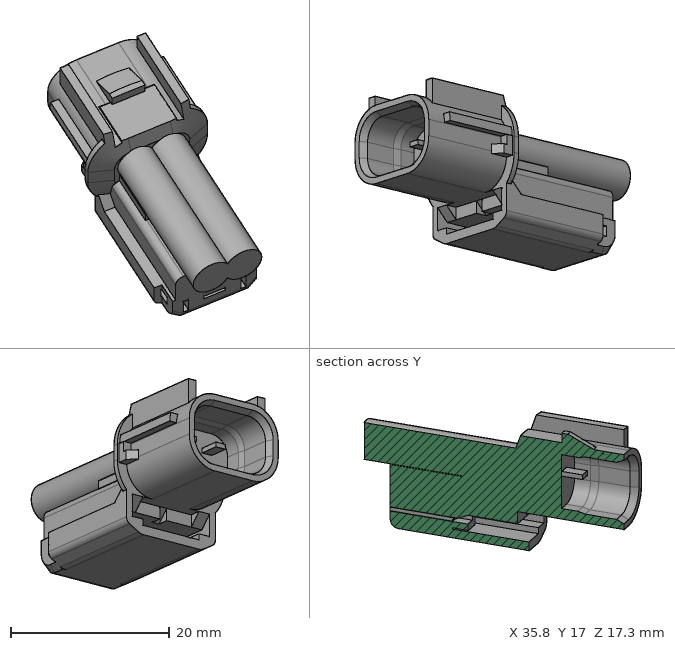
import cadquery as cq
import math


LENGTH = 35.8
AXIS_Z = 10.25
CORE_Y = 5.98
CORE_Z = 2.15
BODY_RADIUS = 4.08
BODY_HALF_WIDTH = CORE_Y / 2 + BODY_RADIUS
BODY_TOP = AXIS_Z + CORE_Z / 2 + BODY_RADIUS
BODY_BOTTOM = AXIS_Z - CORE_Z / 2 - BODY_RADIUS

FLANGE_X = 13.05
TAPER_X = 13.82
BODY_END = 15.0
FLANGE_RADIUS = BODY_RADIUS + 1.43
TAPER_END_RADIUS = 2.33
TAPER_SLOPE = (FLANGE_RADIUS - TAPER_END_RADIUS) / (BODY_END - TAPER_X)

MOUTH_RADIUS = 3.25
SOCKET_RADIUS = 2.8
SEAT_RADIUS = 2.58
LEAD_IN = 1.0
SEAT_X = 5.35
SEAT_END = 6.37
FLOOR_X = 8.6
PIN_LENGTH = 2.85
PIN_Y = 2.3
PIN_WIDTH = 1.5
PIN_THICKNESS = 0.65
PIN_Z = AXIS_Z + CORE_Z / 2

RAIL_X = 1.45
RAIL_INNER_Y = 4.87
RAIL_OUTER_Y = 6.1
RAIL_TOP = 17.25
PAD_X = 7.88
PAD_LEAD = 0.32
PAD_HALF_WIDTH = 3.9
PAD_TOP = 15.6
LATCH_X = 4.2
LATCH_CREST_X = 7.77
LATCH_END = 8.55
LATCH_HALF_WIDTH = 2.33
LATCH_TOP = 16.9
LATCH_BOW = 0.15
LATCH_ROOT = 0.35

RIB_X = 2.65
RIB_TOP = 12.6
RIB_BOTTOM = 11.42
RIB_TOP_Y = 8.02
RIB_BOTTOM_Y = 8.15
CATCH_Y = 8.25
CATCH_X = 10.55
CATCH_CREST_X = 11.6
CATCH_POST_X = 12.15
CATCH_TOP = 10.1
CATCH_BOTTOM = 8.85

WIRE_RADIUS = 2.65
WIRE_Y = 2.22
WIRE_Z = 11.25
WIRE_OVERLAP = 0.7

HOUSING_END = 32.25
HOUSING_TOP = 8.65
HOUSING_HALF_WIDTH = 5.55
HOUSING_ROUND = 1.1
LEDGE_TOP = 4.4
LEDGE_END = 29.3
LEDGE_RAMP_X = 15.57
TAIL_HALF_WIDTH = 5.98
TAIL_ROUND = 1.18
TAIL_SIDE_ROUND = 1.95
SADDLE_END = 22.15
SADDLE_HALF_WIDTH = 4.62
SADDLE_TOP = 9.85
BELLY_HALF_WIDTH = 4.8
BELLY_SIDE_Z = 1.25
BELLY_CORNER_RADIUS = 0.95
BELLY_EDGE_RADIUS = 1.7

PASSAGE_HALF_WIDTH = 4.45
PASSAGE_FLOOR = 1.25
PASSAGE_ROOF = 3.45
CHANNEL_Y = 6.12
CHANNEL_FLOOR = 2.08
CHANNEL_END = 30.75
RAMP_LENGTH = 1.6
ENTRY_END = FLANGE_X + RAMP_LENGTH
KEYWAY_HALF_WIDTH = 0.55
TONGUE_X = 21.48
TONGUE_HALF_WIDTH = 3.72
POCKET_HALF_WIDTH = 2.85
POCKET_FLOOR = 2.3
POCKET_END_ROOF = 2.5
POCKET_LENGTH = 2.15
WINDOW_HALF_WIDTH = 1.55
WINDOW_TOP = 2.8
UNDERCUT = 0.1

PICK_MARGIN = 0.35


def box(x0, x1, y0, y1, z0, z1):
    """Box between two opposite corners."""
    return cq.Workplane("XY").box(x1 - x0, y1 - y0, z1 - z0, centered=False).translate((x0, y0, z0))


def centred_box(x0, x1, half_width, z0, z1):
    """Box symmetric about Y = 0."""
    return box(x0, x1, -half_width, half_width, z0, z1)


def side_profile(points, y0, y1):
    """Extrude an XZ outline from y0 to y1."""
    return cq.Workplane("XZ", origin=(0, y0, 0)).polyline(points).close().extrude(y0 - y1)


def section(radius):
    """Rounded section of the body family."""
    return cq.Sketch().rect(CORE_Y + 2 * radius, CORE_Z + 2 * radius).vertices().fillet(radius)


def tube(x0, x1, radius):
    """Straight length of the rounded section."""
    return cq.Workplane("YZ", origin=(x0, 0, AXIS_Z)).placeSketch(section(radius)).extrude(x1 - x0)


def funnel(x0, radius0, x1, radius1):
    """Length of the rounded section that changes evenly from one radius to another."""
    end = section(radius1).moved(cq.Location(cq.Vector(0, 0, x1 - x0)))
    plane = cq.Workplane("YZ", origin=(x0, 0, AXIS_Z))
    return plane.placeSketch(section(radius0), end).loft(ruled=True)


def rails():
    """Two upright guide rails along the top of the body."""
    right = box(RAIL_X, BODY_END, RAIL_INNER_Y, RAIL_OUTER_Y, AXIS_Z, RAIL_TOP)
    return right.union(right.mirror("XZ"))


def pad():
    """Low flat pad on top of the body with a short lead-in."""
    outline = [(PAD_X, PAD_TOP - PAD_LEAD), (PAD_X + PAD_LEAD, PAD_TOP), (BODY_END, PAD_TOP)]
    outline += [(BODY_END, AXIS_Z), (PAD_X, AXIS_Z)]
    return side_profile(outline, -PAD_HALF_WIDTH, PAD_HALF_WIDTH)


def latch():
    """Latch ramp with a slightly bowed front, cut square at the back and rooted in the body wall."""
    run_per_rise = (LATCH_CREST_X - LATCH_X) / (LATCH_TOP - BODY_TOP)
    height = LATCH_TOP - BODY_TOP + LATCH_ROOT
    start = LATCH_X - run_per_rise * LATCH_ROOT
    outline = (
        cq.Workplane("XY", origin=(0, 0, BODY_TOP - LATCH_ROOT))
        .moveTo(start, -LATCH_HALF_WIDTH)
        .threePointArc((start - LATCH_BOW, 0), (start, LATCH_HALF_WIDTH))
        .lineTo(LATCH_END, LATCH_HALF_WIDTH)
        .lineTo(LATCH_END, -LATCH_HALF_WIDTH)
        .close()
    )
    slant = cq.Vector(run_per_rise * height, 0, height)
    prism = cq.Workplane(cq.Solid.extrudeLinear(outline.val(), [], slant))
    return prism.intersect(centred_box(0, LATCH_END, LATCH_HALF_WIDTH, 0, LATCH_TOP))


def side_rib():
    """Rib and catch on the +Y side of the body."""
    rib = (
        cq.Workplane("YZ", origin=(RIB_X, 0, 0))
        .polyline([(0, RIB_TOP), (RIB_TOP_Y, RIB_TOP), (RIB_BOTTOM_Y, RIB_BOTTOM), (0, RIB_BOTTOM)])
        .close()
        .extrude(FLANGE_X - RIB_X)
    )
    post = box(CATCH_POST_X, FLANGE_X, 0, CATCH_Y, CATCH_BOTTOM, RIB_BOTTOM)
    wedge_outline = [(CATCH_X, 0), (CATCH_X, BODY_HALF_WIDTH), (CATCH_CREST_X, CATCH_Y)]
    wedge_outline += [(FLANGE_X, CATCH_Y), (FLANGE_X, 0)]
    wedge = (
        cq.Workplane("XY", origin=(0, 0, CATCH_BOTTOM))
        .polyline(wedge_outline)
        .close()
        .extrude(CATCH_TOP - CATCH_BOTTOM)
    )
    return rib.union(post).union(wedge)


def flange():
    """Flange beside the rails, left off above the body between them."""
    full = tube(FLANGE_X, BODY_END, FLANGE_RADIUS)
    gap = centred_box(FLANGE_X, BODY_END, RAIL_OUTER_Y, AXIS_Z, RAIL_TOP)
    belly = centred_box(FLANGE_X, BODY_END, BODY_HALF_WIDTH, 0, BODY_BOTTOM)
    return full.cut(gap).cut(belly)


def body():
    """Outer body with its rear tapered."""
    solid = tube(0, BODY_END, BODY_RADIUS).union(flange()).union(rails()).union(pad())
    widest_x = TAPER_X - (RAIL_TOP - BODY_TOP) / TAPER_SLOPE
    widest_radius = FLANGE_RADIUS + RAIL_TOP - BODY_TOP
    envelope = tube(0, widest_x, widest_radius).union(
        funnel(widest_x, widest_radius, BODY_END, TAPER_END_RADIUS)
    )
    rib = side_rib()
    return solid.intersect(envelope).union(latch()).union(rib).union(rib.mirror("XZ"))


def socket():
    """Hollow of the body: lead-in, straight stretch, narrowing seat and bottom."""
    lead_in = funnel(0, MOUTH_RADIUS, LEAD_IN, SOCKET_RADIUS)
    straight = tube(LEAD_IN, SEAT_X, SOCKET_RADIUS)
    seat = funnel(SEAT_X, SOCKET_RADIUS, SEAT_END, SEAT_RADIUS)
    bottom = tube(SEAT_END, FLOOR_X, SEAT_RADIUS)
    return lead_in.union(straight).union(seat).union(bottom)


def pin(side):
    """Flat contact pin standing on the socket floor."""
    y = side * PIN_Y
    half_width = PIN_WIDTH / 2
    half_thickness = PIN_THICKNESS / 2
    z0 = PIN_Z - half_thickness
    return box(FLOOR_X - PIN_LENGTH, FLOOR_X, y - half_width, y + half_width, z0, PIN_Z + half_thickness)


def wires():
    """Pair of wires side by side, leaving the rear of the body."""
    start = BODY_END - WIRE_OVERLAP
    right = cq.Workplane("YZ", origin=(start, WIRE_Y, WIRE_Z)).circle(WIRE_RADIUS).extrude(LENGTH - start)
    return right.union(right.mirror("XZ"))


def ledge():
    """Wide lower part of the clip housing, sloped underneath and ramped up to the flange."""
    ramp_top = LEDGE_TOP + LEDGE_RAMP_X - TAPER_X
    side_outline = [(FLANGE_X, 0), (FLANGE_X, ramp_top), (TAPER_X, ramp_top), (LEDGE_RAMP_X, LEDGE_TOP)]
    side_outline += [(LEDGE_END, LEDGE_TOP), (LEDGE_END, 0)]
    front_outline = [(-BODY_HALF_WIDTH, ramp_top), (-BODY_HALF_WIDTH, BELLY_SIDE_Z), (-BELLY_HALF_WIDTH, 0)]
    front_outline += [(-y, z) for y, z in reversed(front_outline)]
    bar = cq.Workplane("YZ", origin=(FLANGE_X, 0, 0)).polyline(front_outline).close()
    bar = bar.extrude(LEDGE_END - FLANGE_X)
    bar = bar.edges("|X and <Z").fillet(BELLY_EDGE_RADIUS)
    side_corners = cq.selectors.BoxSelector(
        (FLANGE_X, -BODY_HALF_WIDTH - PICK_MARGIN, BELLY_SIDE_Z - PICK_MARGIN),
        (LEDGE_END, BODY_HALF_WIDTH + PICK_MARGIN, BELLY_SIDE_Z + PICK_MARGIN),
    )
    bar = bar.edges("|X").edges(side_corners).fillet(BELLY_CORNER_RADIUS)
    return bar.intersect(side_profile(side_outline, -BODY_HALF_WIDTH, BODY_HALF_WIDTH))


def tail_outline(y, bottom, radius):
    """Side outline of the tail at one Y, rounded at the lower rear corner."""
    diagonal = radius * (1 - math.sqrt(0.5))
    return (
        cq.Workplane("XZ", origin=(0, y, 0))
        .moveTo(LEDGE_END, LEDGE_TOP)
        .lineTo(LEDGE_END, bottom)
        .lineTo(HOUSING_END - radius, bottom)
        .threePointArc((HOUSING_END - diagonal, bottom + diagonal), (HOUSING_END, bottom + radius))
        .lineTo(HOUSING_END, LEDGE_TOP)
        .close()
    )


def tail():
    """Narrower rear end of the ledge, rounder and higher towards its sides."""
    side_bottom = BELLY_SIDE_Z * (TAIL_HALF_WIDTH - BELLY_HALF_WIDTH) / (BODY_HALF_WIDTH - BELLY_HALF_WIDTH)
    inner = tail_outline(BELLY_HALF_WIDTH, 0, TAIL_ROUND)
    outer = tail_outline(TAIL_HALF_WIDTH, side_bottom, TAIL_SIDE_ROUND)
    flank = cq.Workplane(cq.Solid.makeLoft([inner.val(), outer.val()], True))
    middle = inner.extrude(2 * BELLY_HALF_WIDTH)
    return middle.union(flank).union(flank.mirror("XZ"))


def housing():
    """Clip housing: narrow upper block, saddle for the wires, wide ledge and stepped tail."""
    upper = centred_box(FLANGE_X, HOUSING_END, HOUSING_HALF_WIDTH, LEDGE_TOP, HOUSING_TOP)
    upper = upper.edges("|X and >Z").fillet(HOUSING_ROUND)
    saddle = centred_box(FLANGE_X, SADDLE_END, SADDLE_HALF_WIDTH, LEDGE_TOP, SADDLE_TOP)
    return upper.union(saddle).union(ledge()).union(tail())


def ramped_slot(y0, y1, floor, start, end):
    """Slot whose roof slopes down from the underside of the body to the passage roof."""
    outline = [(start, floor), (start, BODY_BOTTOM), (start + RAMP_LENGTH, PASSAGE_ROOF)]
    outline += [(end, PASSAGE_ROOF), (end, floor)]
    return side_profile(outline, y0, y1)


def passage():
    """Clip passage through the housing, with its side channels and the tongue left standing."""
    through = centred_box(FLANGE_X, HOUSING_END, PASSAGE_HALF_WIDTH, PASSAGE_FLOOR, PASSAGE_ROOF)
    tongue = centred_box(TONGUE_X, HOUSING_END, TONGUE_HALF_WIDTH, PASSAGE_FLOOR, PASSAGE_ROOF)
    pocket_end = TONGUE_X + POCKET_LENGTH
    pocket_outline = [(TONGUE_X, POCKET_FLOOR), (TONGUE_X, PASSAGE_ROOF), (pocket_end, POCKET_END_ROOF)]
    pocket_outline += [(pocket_end, POCKET_FLOOR)]
    pocket = side_profile(pocket_outline, -POCKET_HALF_WIDTH, POCKET_HALF_WIDTH)
    window = centred_box(TONGUE_X, HOUSING_END, WINDOW_HALF_WIDTH, POCKET_FLOOR, WINDOW_TOP)
    undercut = centred_box(TONGUE_X, pocket_end, TONGUE_HALF_WIDTH, PASSAGE_FLOOR, PASSAGE_FLOOR + UNDERCUT)
    hollow = through.cut(tongue.cut(pocket).cut(window).cut(undercut))
    entry = centred_box(FLANGE_X, ENTRY_END, PASSAGE_HALF_WIDTH, PASSAGE_FLOOR, BODY_BOTTOM)
    channel = ramped_slot(PASSAGE_HALF_WIDTH, CHANNEL_Y, CHANNEL_FLOOR, FLANGE_X, CHANNEL_END)
    keyway = ramped_slot(-KEYWAY_HALF_WIDTH, KEYWAY_HALF_WIDTH, PASSAGE_FLOOR, ENTRY_END, TONGUE_X)
    return hollow.union(entry).union(channel).union(channel.mirror("XZ")).union(keyway)


result = body().union(housing()).union(wires()).cut(socket()).cut(passage())
for side in (-1, 1):
    result = result.union(pin(side))